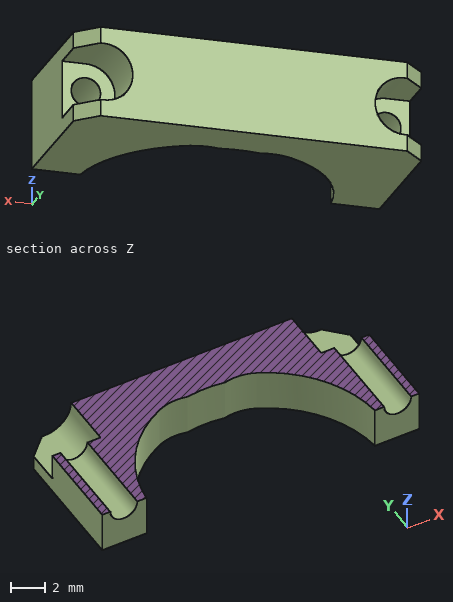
import cadquery as cq
import math

width = 21.36
depth = 9.4
height = 5.59
corner_chamfer = 1.27

bore_radius = 7.715
bore_center_y = -0.73
lobe_outer_x = 3.27
lobe_radius = 3.0
crown_half_width = 1.265
crown_top_y = 6.56

screw_diameter = 1.8
screw_inset = 1.46
seat_width = 3.556
seat_depth = 3.47

half_width = width / 2
screw_x = half_width - screw_inset


def circle_y(x, center_x, center_y, radius):
    """Y of the upper half of a circle at the given x."""
    return center_y + math.sqrt(radius**2 - (x - center_x)**2)


def make_block():
    block = cq.Workplane("XY").box(width, depth, height, centered=(True, False, True))
    return block.faces(">Y").edges("|Z").chamfer(corner_chamfer)


def make_opening():
    """Cutter bounded by two bore arcs, two tangent lobes and a central crown."""
    mouth_x = math.sqrt(bore_radius**2 - bore_center_y**2)
    bore_mid_x = (mouth_x + lobe_outer_x) / 2
    bore_mid_y = circle_y(bore_mid_x, 0, bore_center_y, bore_radius)
    lobe_outer_y = circle_y(lobe_outer_x, 0, bore_center_y, bore_radius)

    center_ratio = 1 - lobe_radius / bore_radius
    lobe_center_x = lobe_outer_x * center_ratio
    lobe_center_y = bore_center_y + (lobe_outer_y - bore_center_y) * center_ratio
    lobe_mid_x = (lobe_outer_x + crown_half_width) / 2
    lobe_mid_y = circle_y(lobe_mid_x, lobe_center_x, lobe_center_y, lobe_radius)
    crown_edge_y = circle_y(crown_half_width, lobe_center_x, lobe_center_y, lobe_radius)

    outline = (
        cq.Workplane("XY", origin=(0, 0, -height / 2))
        .moveTo(-mouth_x, 0)
        .threePointArc((-bore_mid_x, bore_mid_y), (-lobe_outer_x, lobe_outer_y))
        .threePointArc((-lobe_mid_x, lobe_mid_y), (-crown_half_width, crown_edge_y))
        .threePointArc((0, crown_top_y), (crown_half_width, crown_edge_y))
        .threePointArc((lobe_mid_x, lobe_mid_y), (lobe_outer_x, lobe_outer_y))
        .threePointArc((bore_mid_x, bore_mid_y), (mouth_x, 0))
        .close()
    )
    return outline.extrude(height)


def make_screw_cut(side):
    """Through hole and its rear seat; side is -1 for -X and +1 for +X."""
    back_plane = cq.Workplane("XZ", origin=(side * screw_x, depth, 0))
    hole = back_plane.circle(screw_diameter / 2).extrude(depth)
    round_end = back_plane.circle(seat_width / 2).extrude(seat_depth)
    side_slot = (
        back_plane.center(side * screw_inset / 2, 0)
        .rect(screw_inset, seat_width)
        .extrude(seat_depth)
    )
    return hole.union(round_end).union(side_slot)


result = make_block().cut(make_opening())
for side in (-1, 1):
    result = result.cut(make_screw_cut(side))